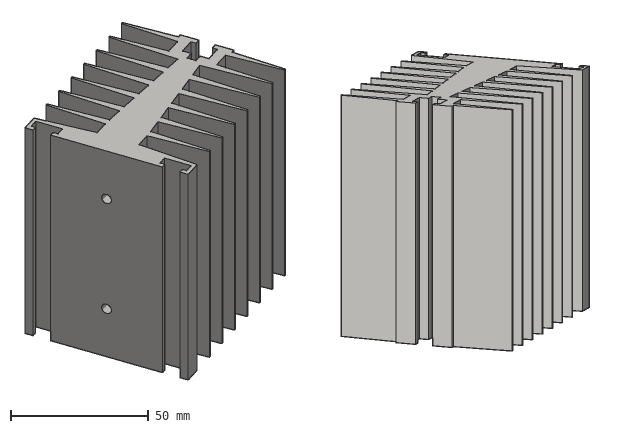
import cadquery as cq

width = 66.8
depth = 80.0
length = 90.0
half_width = width / 2

fin_count = 7
fin_pitch = 10.0
first_fin_y = 17.2
fin_tip_half_thickness = 0.405
fin_taper = 0.046

core_half_width_bottom = 8.55
core_half_width_top = 4.3
last_fin_y = first_fin_y + (fin_count - 1) * fin_pitch
core_top_y = last_fin_y - fin_pitch

base_edge_height = 7.2
base_core_height = 9.2
slot_ceiling = 5.6
slot_lip_height = 2.0
slot_inner_x = 20.9
slot_outer_x = half_width - 1.6
slot_mouth_inner_x = 22.9
slot_mouth_outer_x = half_width - 3.3

neck_half_width = 9.8
head_half_width = 11.0
head_slot_half_width = 5.4
head_mouth_half_width = 3.3
head_lip_height = 2.3
head_slot_depth = 9.1
groove_half_width = 1.8
groove_depth = 12.4

hole_diameter = 4.0
hole_spacing = 48.1
hole_depth = 10.0


def prism(points):
    """Extrude a closed outline over the full length."""
    return cq.Workplane("XY").polyline(points).close().extrude(length)


def symmetric_prism(right_side):
    """Close a right-hand outline with its mirror image and extrude it."""
    left_side = [(-x, y) for x, y in reversed(right_side)]
    return prism(right_side + left_side)


def block(x_min, x_max, y_min, y_max):
    return prism([(x_min, y_min), (x_max, y_min), (x_max, y_max), (x_min, y_max)])


def make_base():
    base = symmetric_prism([
        (half_width, 0),
        (half_width, base_edge_height),
        (core_half_width_bottom, base_core_height),
    ])
    slot = block(slot_inner_x, slot_outer_x, slot_lip_height, slot_ceiling)
    slot = slot.union(block(slot_mouth_inner_x, slot_mouth_outer_x, 0, slot_ceiling))
    return base.cut(slot).cut(slot.mirror("YZ"))


def make_core():
    return symmetric_prism([
        (core_half_width_bottom, 0),
        (core_half_width_bottom, first_fin_y),
        (core_half_width_top, core_top_y),
    ])


def make_fin(y):
    """One fin pair, thickest on the centre plane."""
    root_half_thickness = fin_tip_half_thickness + fin_taper * half_width
    return prism([
        (half_width, y - fin_tip_half_thickness),
        (half_width, y + fin_tip_half_thickness),
        (0, y + root_half_thickness),
        (-half_width, y + fin_tip_half_thickness),
        (-half_width, y - fin_tip_half_thickness),
        (0, y - root_half_thickness),
    ])


def make_neck_and_head():
    neck = block(-neck_half_width, neck_half_width, core_top_y, last_fin_y)
    return neck.union(block(-head_half_width, head_half_width, last_fin_y, depth))


def make_head_slot():
    slot_floor = depth - head_slot_depth
    slot = block(-head_slot_half_width, head_slot_half_width, slot_floor, depth - head_lip_height)
    mouth = block(-head_mouth_half_width, head_mouth_half_width, slot_floor, depth)
    groove = block(-groove_half_width, groove_half_width, depth - groove_depth, depth)
    return slot.union(mouth).union(groove)


def make_holes():
    """Two holes drilled in +Y from the mounting face."""
    offset = hole_spacing / 2
    return (
        cq.Workplane("XZ", origin=(0, 0, length / 2))
        .pushPoints([(0, -offset), (0, offset)])
        .circle(hole_diameter / 2)
        .extrude(-hole_depth)
    )


result = make_base().union(make_core()).union(make_neck_and_head())
for index in range(fin_count):
    result = result.union(make_fin(first_fin_y + index * fin_pitch))
result = result.cut(make_head_slot()).cut(make_holes())